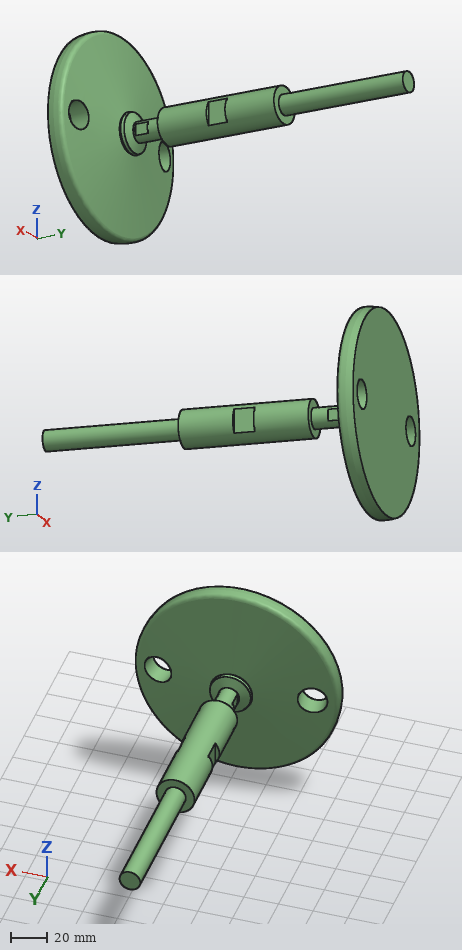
import cadquery as cq
import math

TOTAL_LENGTH = 197.0

FOOT_RADIUS = 118.0 / 2
UNDERSIDE_RADIUS = 58.3
TAPER_HEIGHT = 4.1
CONE_EDGE_HEIGHT = 9.3
CONE_TOP_RADIUS = 12.2
FOOT_HEIGHT = 17.1
EDGE_FILLET = 2.5
CONE_ANGLE = math.degrees(math.atan2(FOOT_HEIGHT - CONE_EDGE_HEIGHT, FOOT_RADIUS - CONE_TOP_RADIUS))

HOLE_DIAMETER = 16.5
HOLE_OFFSET = 42.7
HOLE_CUT_LENGTH = 59.1

FLANGE_BASE_RADIUS = 11.2
FLANGE_RIM_RADIUS = 12.2
FLANGE_SHOULDER_RADIUS = 11.8
FLANGE_RIM_Y = 18.5
FLANGE_SHOULDER_Y = 20.5
FLANGE_TOP_Y = 22.7
ROD_DIAMETER = 12.0
ROD_RADIUS = ROD_DIAMETER / 2
SLEEVE_DIAMETER = 22.0
SLEEVE_RADIUS = SLEEVE_DIAMETER / 2
SLEEVE_START = 41.5
SLEEVE_LENGTH = 75.3
SLEEVE_END = SLEEVE_START + SLEEVE_LENGTH

ROD_FLAT_START = 23.8
ROD_FLAT_LENGTH = 8.0
ROD_FLAT_WIDTH = 10.0
SLEEVE_FLAT_LENGTH = 12.0
SLEEVE_FLAT_START = SLEEVE_START + (SLEEVE_LENGTH - SLEEVE_FLAT_LENGTH) / 2
SLEEVE_FLAT_WIDTH = 17.3


def revolve_about_y(points):
    """Turn a closed (radius, Y) outline around the Y axis."""
    return cq.Workplane("XY").polyline(points).close().revolve(360, (0, 0), (0, 1))


def make_hole_cutter(side):
    """Cylinder through the foot, leaning outward on the given X side."""
    lean = math.radians(CONE_ANGLE)
    direction = cq.Vector(side * math.sin(lean), math.cos(lean), 0)
    start = cq.Vector(side * HOLE_OFFSET, 0, 0) - direction * (HOLE_CUT_LENGTH / 2)
    return cq.Solid.makeCylinder(HOLE_DIAMETER / 2, HOLE_CUT_LENGTH, start, direction)


def make_foot():
    foot = revolve_about_y([
        (0, 0),
        (UNDERSIDE_RADIUS, 0),
        (FOOT_RADIUS, TAPER_HEIGHT),
        (FOOT_RADIUS, CONE_EDGE_HEIGHT),
        (CONE_TOP_RADIUS, FOOT_HEIGHT),
        (0, FOOT_HEIGHT),
    ])
    rim_edge = cq.selectors.BoxSelector(
        (-FOOT_RADIUS - 2, CONE_EDGE_HEIGHT - 0.2, -FOOT_RADIUS - 2),
        (FOOT_RADIUS + 2, CONE_EDGE_HEIGHT + 0.2, FOOT_RADIUS + 2),
    )
    foot = foot.edges("%CIRCLE").edges(rim_edge).fillet(EDGE_FILLET)
    for side in (-1, 1):
        foot = foot.cut(make_hole_cutter(side))
    return foot


def cut_flats(body, start, length, width, diameter):
    """Cut two opposite flats, leaving the given width across them in X."""
    for side in (-1, 1):
        cutter = cq.Workplane("XY").box(diameter, length, diameter)
        body = body.cut(cutter.translate((side * (width + diameter) / 2, start + length / 2, 0)))
    return body


def make_spindle():
    spindle = revolve_about_y([
        (0, FOOT_HEIGHT),
        (FLANGE_BASE_RADIUS, FOOT_HEIGHT),
        (FLANGE_RIM_RADIUS, FLANGE_RIM_Y),
        (FLANGE_SHOULDER_RADIUS, FLANGE_SHOULDER_Y),
        (ROD_RADIUS, FLANGE_TOP_Y),
        (ROD_RADIUS, SLEEVE_START),
        (SLEEVE_RADIUS, SLEEVE_START),
        (SLEEVE_RADIUS, SLEEVE_END),
        (ROD_RADIUS, SLEEVE_END),
        (ROD_RADIUS, TOTAL_LENGTH),
        (0, TOTAL_LENGTH),
    ])
    spindle = cut_flats(spindle, ROD_FLAT_START, ROD_FLAT_LENGTH, ROD_FLAT_WIDTH, ROD_DIAMETER)
    return cut_flats(spindle, SLEEVE_FLAT_START, SLEEVE_FLAT_LENGTH, SLEEVE_FLAT_WIDTH, SLEEVE_DIAMETER)


foot = make_foot()
spindle = make_spindle()
result = cq.Compound.makeCompound([foot.val(), spindle.val()])